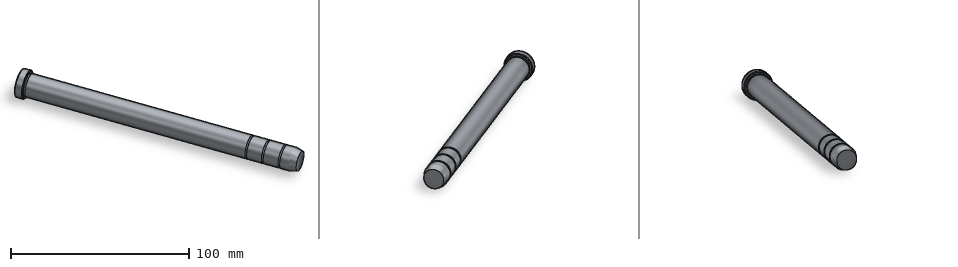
import cadquery as cq
import math

overall_length = 170.0
head_diameter = 17.0
shaft_diameter = 14.0

head_length = 5.0
head_chamfer = 0.5

groove_width = 1.0
groove_depth = 0.3
tip_groove_count = 3
tip_groove_pitch = 10.0
first_tip_groove_distance = 139.4

nose_length = 4.0
nose_half_angle = 15.0

head_end_x = -overall_length / 2
tip_x = overall_length / 2
shaft_start_x = head_end_x + head_length
nose_start_x = tip_x - nose_length
shaft_radius = shaft_diameter / 2
tip_radius = shaft_radius - nose_length * math.tan(math.radians(nose_half_angle))


def revolve_about_x(profile):
    return profile.revolve(360, (0, 0, 0), (1, 0, 0))


def make_head():
    """Disc head with both rims chamfered."""
    disc = cq.Workplane("YZ", origin=(head_end_x, 0, 0)).circle(head_diameter / 2).extrude(head_length)
    return disc.faces("<X or >X").chamfer(head_chamfer)


def make_shaft():
    """Cylinder from the head's outer face to the nose, which tapers to a flat tip."""
    profile = (
        cq.Workplane("XY")
        .moveTo(head_end_x, 0)
        .lineTo(head_end_x, shaft_radius)
        .lineTo(nose_start_x, shaft_radius)
        .lineTo(tip_x, tip_radius)
        .lineTo(tip_x, 0)
        .close()
    )
    return revolve_about_x(profile)


def ring_groove(start_x):
    """Ring to remove from the shaft: an arc dips below the surface between two edges."""
    end_x = start_x + groove_width
    profile = (
        cq.Workplane("XY")
        .moveTo(start_x, shaft_radius)
        .threePointArc((start_x + groove_width / 2, shaft_radius - groove_depth), (end_x, shaft_radius))
        .lineTo(end_x, shaft_radius + groove_depth)
        .lineTo(start_x, shaft_radius + groove_depth)
        .close()
    )
    return revolve_about_x(profile)


shaft = make_shaft().cut(ring_groove(shaft_start_x))
for index in range(tip_groove_count):
    groove_x = head_end_x + first_tip_groove_distance + index * tip_groove_pitch
    shaft = shaft.cut(ring_groove(groove_x))

result = make_head().union(shaft)